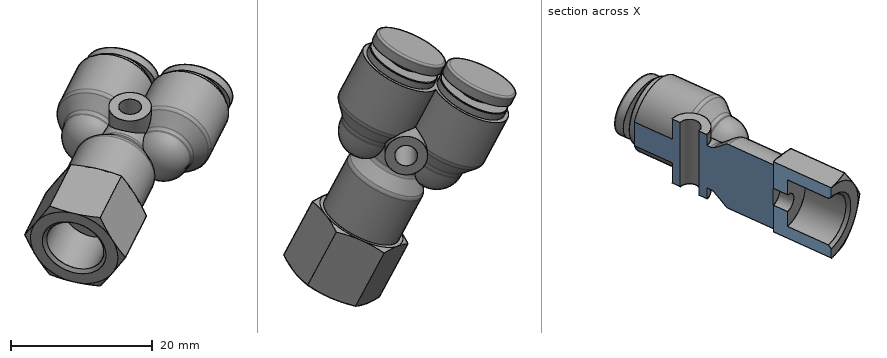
import cadquery as cq
import math

TOTAL_LENGTH = 37.6

NUT_FLATS = 13.0
NUT_LENGTH = 10.0
NUT_CHAMFER_LENGTH = 0.38
NUT_BORE_DIAMETER = 8.5
NUT_BORE_DEPTH = 7.52
NUT_BORE_CHAMFER = 0.5
NUT_PASSAGE_DIAMETER = 3.0

BARREL_DIAMETER = 11.9
NECK_DIAMETER = 7.95
HOUSING_WIDTH = 22.9
CONE_LENGTH = 2.45
BEND_RADIUS = 0.98
TRUNK_SHOULDER_Y = 18.0
BRANCH_SHOULDER_Y = 25.9
BRANCH_END_Y = 33.95
BALL_CENTER_Y = 22.95

BOSS_DIAMETER = 6.0
BOSS_HOLE_DIAMETER = 3.2
BOSS_CENTER_Y = 24.45

COLLAR_DIAMETER = 10.6
COLLAR_LENGTH = 1.13
COLLAR_CHAMFER = 0.1

STEM_DIAMETER = 5.5
HEAD_WIDTH = 10.83
HEAD_HEIGHT = 8.6
HEAD_THICKNESS = 1.65
HEAD_FILLET = 0.35

BRANCH_OFFSET = (HOUSING_WIDTH - BARREL_DIAMETER) / 2
COLLAR_END_Y = BRANCH_END_Y + COLLAR_LENGTH
HEAD_START_Y = TOTAL_LENGTH - HEAD_THICKNESS


def section(y):
    """Workplane across the fitting at y, drawn in X and Z and extruded toward +Y."""
    plane = cq.Plane(origin=(0, y, 0), xDir=(-1, 0, 0), normal=(0, 1, 0))
    return cq.Workplane(plane)


def cylinder(diameter, start_y, end_y):
    return section(start_y).circle(diameter / 2).extrude(end_y - start_y)


def stepped_barrel(barrel_end_y, shoulder_y, neck_end_y):
    """Barrel that narrows through a cone to the neck, with rounded bends, along the Y axis."""
    toward_neck = math.copysign(1, neck_end_y - barrel_end_y)
    waist_y = shoulder_y + toward_neck * CONE_LENGTH
    outline = [
        (0, barrel_end_y),
        (BARREL_DIAMETER / 2, barrel_end_y),
        (BARREL_DIAMETER / 2, shoulder_y),
        (NECK_DIAMETER / 2, waist_y),
        (NECK_DIAMETER / 2, neck_end_y),
        (0, neck_end_y),
    ]
    barrel = cq.Workplane("XY").polyline(outline).close().revolve(360, (0, 0), (0, 1))
    bends = barrel.edges("%CIRCLE").sort(lambda ring: ring.Center().y)[1:3]
    return bends.fillet(BEND_RADIUS)


def make_nut():
    corner_radius = NUT_FLATS / math.sqrt(3)
    face_radius = NUT_FLATS / 2
    hexagon = section(0).polygon(6, 2 * corner_radius).extrude(NUT_LENGTH)

    envelope_outline = [
        (0, 0),
        (face_radius, 0),
        (corner_radius, NUT_CHAMFER_LENGTH),
        (corner_radius, NUT_LENGTH - NUT_CHAMFER_LENGTH),
        (face_radius, NUT_LENGTH),
        (0, NUT_LENGTH),
    ]
    envelope = cq.Workplane("XY").polyline(envelope_outline).close().revolve(360, (0, 0), (0, 1))

    bore = cylinder(NUT_BORE_DIAMETER, 0, NUT_BORE_DEPTH)
    mouth_radius = NUT_BORE_DIAMETER / 2 + NUT_BORE_CHAMFER
    mouth = section(0).circle(mouth_radius).extrude(NUT_BORE_CHAMFER, taper=45)
    passage = cylinder(NUT_PASSAGE_DIAMETER, 0, NUT_LENGTH)
    return hexagon.intersect(envelope).cut(bore).cut(mouth).cut(passage)


def make_branch(x):
    barrel = stepped_barrel(BRANCH_END_Y, BRANCH_SHOULDER_Y, BALL_CENTER_Y)
    ball = cq.Workplane("XY").sphere(NECK_DIAMETER / 2).translate((0, BALL_CENTER_Y, 0))
    return barrel.union(ball).translate((x, 0, 0))


def make_housing():
    housing = stepped_barrel(NUT_LENGTH, TRUNK_SHOULDER_Y, BOSS_CENTER_Y)
    for x in (-BRANCH_OFFSET, BRANCH_OFFSET):
        housing = housing.union(make_branch(x))

    boss_plane = cq.Workplane("XY", origin=(0, BOSS_CENTER_Y, 0))
    boss = boss_plane.circle(BOSS_DIAMETER / 2).extrude(BARREL_DIAMETER / 2, both=True)
    boss_hole = boss_plane.circle(BOSS_HOLE_DIAMETER / 2).extrude(BARREL_DIAMETER / 2, both=True)
    return housing.union(boss).cut(boss_hole)


def make_collar(x):
    collar = cylinder(COLLAR_DIAMETER, BRANCH_END_Y, COLLAR_END_Y)
    return collar.faces(">Y").edges().chamfer(COLLAR_CHAMFER).translate((x, 0, 0))


def make_release_button(x):
    head = section(HEAD_START_Y).ellipse(HEAD_WIDTH / 2, HEAD_HEIGHT / 2).extrude(HEAD_THICKNESS)
    head = head.faces(">Y").edges().fillet(HEAD_FILLET)
    stem = cylinder(STEM_DIAMETER, COLLAR_END_Y, HEAD_START_Y)
    return head.union(stem).translate((x, 0, 0))


nut = make_nut()
housing = make_housing()
collars = []
release_buttons = []
for branch_x in (-BRANCH_OFFSET, BRANCH_OFFSET):
    collars.append(make_collar(branch_x).val())
    release_buttons.append(make_release_button(branch_x).val())

result = cq.Compound.makeCompound([nut.val(), housing.val(), *collars, *release_buttons])